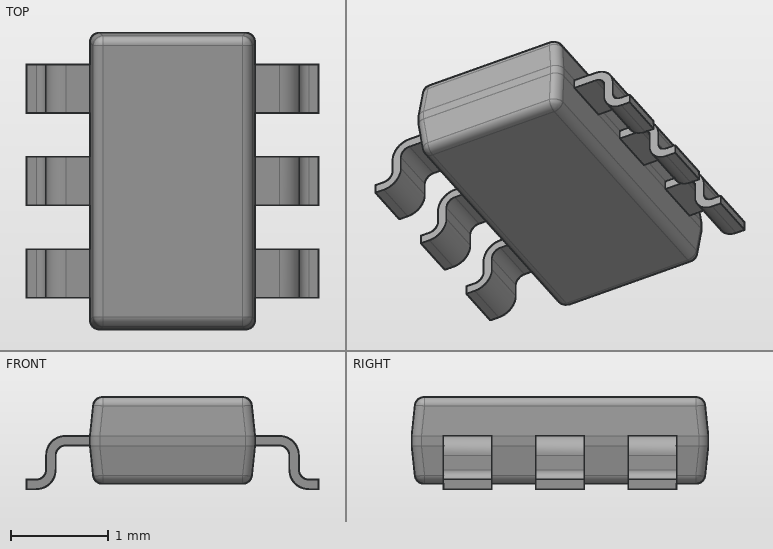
import cadquery as cq
import math

housing_width = 1.7
housing_length = 3.05
housing_top = 0.95
housing_bottom = 0.055
draft_angle = 6.0
edge_radius = 0.1

lead_span = 3.0
lead_thickness = 0.1
lead_width = 0.5
lead_pitch = 0.95
lead_top = 0.55
leads_per_side = 3
foot_flat = 0.1
bend_inner_radius = 0.1

band_top = lead_top
band_bottom = lead_top - lead_thickness
bend_outer_radius = bend_inner_radius + lead_thickness


def make_half(start_z, height, end_face):
    """Drafted block that narrows away from the band, with rounded corners and a rounded rim.

    A negative height goes down; end_face selects the face farthest from the band.
    """
    return (
        cq.Workplane("XY", origin=(0, 0, start_z))
        .rect(housing_width, housing_length)
        .extrude(height, taper=draft_angle)
        .edges("not #Z")
        .fillet(edge_radius)
        .faces(end_face)
        .edges()
        .fillet(edge_radius)
    )


def make_housing():
    """Moulded housing: a straight band between two drafted halves, with rounded edges."""
    upper = make_half(band_top, housing_top - band_top, ">Z")
    lower = make_half(band_bottom, housing_bottom - band_bottom, "<Z")
    band = upper.faces("<Z").wires().toPending().workplane().extrude(lead_thickness, combine=False)
    return band.union(upper).union(lower)


def make_lead():
    """Gull-wing lead on the -X side, from its foot tip to the housing band, centred on Y = 0."""
    tip_x = -lead_span / 2
    foot_bend_x = tip_x + foot_flat
    foot_bend_z = bend_outer_radius
    leg_outer_x = foot_bend_x + bend_inner_radius
    leg_inner_x = leg_outer_x + lead_thickness
    shoulder_bend_x = leg_outer_x + bend_outer_radius
    shoulder_bend_z = lead_top - bend_outer_radius
    housing_x = -housing_width / 2
    diagonal = math.sqrt(0.5)
    inner_reach = bend_inner_radius * diagonal
    outer_reach = bend_outer_radius * diagonal
    return (
        cq.Workplane("XZ")
        .moveTo(tip_x, 0)
        .lineTo(foot_bend_x, 0)
        .threePointArc(
            (foot_bend_x + outer_reach, foot_bend_z - outer_reach),
            (leg_inner_x, foot_bend_z),
        )
        .lineTo(leg_inner_x, shoulder_bend_z)
        .threePointArc(
            (shoulder_bend_x - inner_reach, shoulder_bend_z + inner_reach),
            (shoulder_bend_x, band_bottom),
        )
        .lineTo(housing_x, band_bottom)
        .lineTo(housing_x, lead_top)
        .lineTo(shoulder_bend_x, lead_top)
        .threePointArc(
            (shoulder_bend_x - outer_reach, shoulder_bend_z + outer_reach),
            (leg_outer_x, shoulder_bend_z),
        )
        .lineTo(leg_outer_x, foot_bend_z)
        .threePointArc(
            (foot_bend_x + inner_reach, foot_bend_z - inner_reach),
            (foot_bend_x, lead_thickness),
        )
        .lineTo(tip_x, lead_thickness)
        .close()
        .extrude(lead_width / 2, both=True)
    )


def make_leads():
    """One row of leads along each long side of the housing."""
    left_lead = make_lead()
    right_lead = left_lead.rotate((0, 0, 0), (0, 0, 1), 180)
    leads = []
    for index in range(leads_per_side):
        row_y = (index - (leads_per_side - 1) / 2) * lead_pitch
        for lead in (left_lead, right_lead):
            leads.append(lead.translate((0, row_y, 0)).val())
    return leads


housing = make_housing()
leads = make_leads()

result = cq.Compound.makeCompound([housing.val(), *leads])